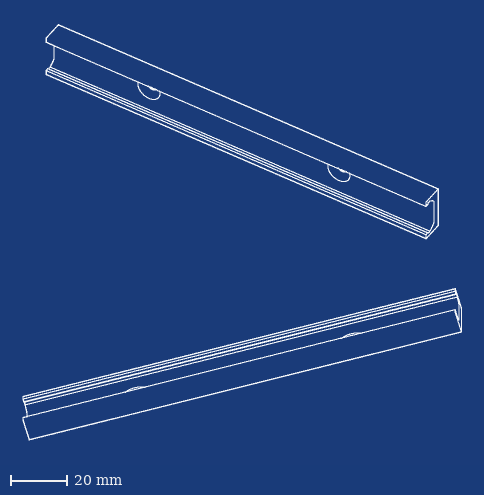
import cadquery as cq

length = 160.0
depth = 8.3
height = 18.0
outer_edge_radius = 0.2

web_thickness = 3.0
lip_thickness = 2.0
lip_depth = 1.1
flange_thickness = 1.6
groove_floor_width = 1.1
groove_ramp = lip_thickness - flange_thickness
web_corner_inset = 3.5
web_corner_radius = 1.1

hole_spacing = length / 2
hole_diameter = 4.5
countersink_diameter = 9.3
countersink_angle = 90.0

back_y = depth / 2
front_y = -depth / 2
web_y = back_y - web_thickness


def make_channel():
    """Cavity cross-section, symmetric about the mid-plane, run along the rail."""
    lip_z = height / 2 - lip_thickness
    groove_z = height / 2 - flange_thickness
    corner_z = height / 2 - web_corner_inset
    lip_back_y = front_y + lip_depth
    groove_front_y = lip_back_y + groove_ramp
    groove_back_y = groove_front_y + groove_floor_width
    upper_half = [
        (front_y, lip_z),
        (lip_back_y, lip_z),
        (groove_front_y, groove_z),
        (groove_back_y, groove_z),
        (web_y, corner_z),
    ]
    lower_half = [(y, -z) for y, z in reversed(upper_half)]
    return (
        cq.Workplane("YZ")
        .polyline(upper_half + lower_half)
        .close()
        .extrude(length / 2, both=True)
        .edges("|X and >Y")
        .fillet(web_corner_radius)
    )


rail = cq.Workplane("XY").box(length, depth, height).edges("|X").fillet(outer_edge_radius)
rail = rail.cut(make_channel())

result = (
    rail.copyWorkplane(cq.Workplane("XZ", origin=(0, web_y, 0)))
    .pushPoints([(-hole_spacing / 2, 0), (hole_spacing / 2, 0)])
    .cskHole(hole_diameter, countersink_diameter, countersink_angle, depth=web_thickness)
)